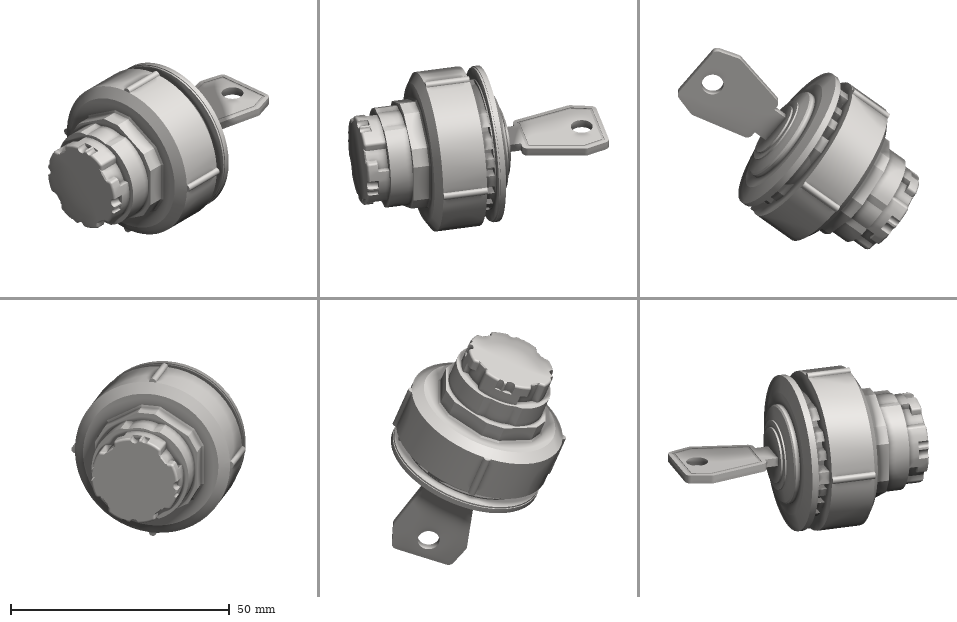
import cadquery as cq
import math


cap_front = 0
cap_undercut = 2.55
cap_back = 5.1
body_back = 10.3
nut_flare = 13.9
ring_front = 14.3
ring_bevel = 15.8
ring_back = 26.05
flange_front = 29.0
flange_step = 29.4
flange_rim = 30.6
knob_base = 31.5
knob_bevel = 32.45
knob_cone = 32.8
bezel_base = 33.6
bezel_face = 33.95
knob_face = 34.4
key_shoulder = 37.6
key_end = 57.55

cap_radius = 10.35
cap_floor_radius = 9.15
cap_floor_bevel = 0.3
cap_edge = 0.6
edge_margin = 0.05
pocket_wall_x = 4.95
pocket_wall_z = 6.2
pocket_corner = 0.7
undercut_wall_x = 3.05
scallop_radius = 1.1
scallop_angle = 0.7
dimple_radius = 0.8
dimple_angle = 13.6
dimple_centre_radius = 10.65

body_radius = 11.5
body_flat_z = 10.55
crown_half_width = 2.9
crown_height = 11.1

nut_width = 24.2
nut_corner_width = 25.55
nut_flare_growth = 0.49

ring_radius = 18.4
ring_face_radius = 16.05
rib_radius = 0.85
overall_width = 38.5
rib_reach = overall_width / 2

neck_radius = 15.1
neck_flat_z = 13.4
neck_core_radius = 12.65
neck_slots_per_quarter = 3
neck_slot_height = 2.1
neck_slot_pitch = 3.95
neck_first_slot_z = 2.55
neck_collar_radius = 15.15
neck_collar_length = 0.3
cone_radius_ring = 13.75
cone_radius_flange = 14.45
key_tab_reach = 16.7
key_tab_height = 2.95

flange_step_radius = 17.8
flange_radius = 18.0
flange_cone_radius = 14.15
knob_radius = 11.45
knob_cone_radius = 11.1
bezel_radius = 8.05
plug_radius = 6.45

key_centre_x = -0.5
key_thickness = 1.95
shank_left = -4.2
shank_right = 3.05
head_end_half_width = 7.2
head_wide_half_width = 9.0
head_wide_y = 51.75
head_shoulder_half_width = 5.7
head_corner = 1.45
panel_groove_margin = 1.0
panel_groove_width = 0.6
panel_groove_depth = 0.2
key_hole_diameter = 5.0
key_hole_y = 52.65


def section_plane(y):
    """Plane across the switch axis, with X to the right and Z up."""
    return cq.Workplane("XZ", origin=(0, y, 0))


def cylinder(radius, y_start, y_end):
    return section_plane(y_start).circle(radius).extrude(y_start - y_end)


def block(x_start, x_end, y_start, y_end, z_start, z_end):
    size = (x_end - x_start, y_end - y_start, z_end - z_start)
    return cq.Workplane().box(*size, centered=False).translate((x_start, y_start, z_start))


def turned(profile):
    """Solid of revolution about Y from (radius, y) points; the ends close on the axis."""
    points = [(0, profile[0][1])] + profile + [(0, profile[-1][1])]
    return cq.Workplane("XY").polyline(points).close().revolve(360, (0, 0), (0, 1))


def quarter_turns(solid):
    return [solid.rotate((0, 0, 0), (0, 1, 0), 90 * turn) for turn in range(4)]


def axis_distance(point):
    return math.hypot(point.x, point.z)


def make_cap():
    cap = cylinder(cap_radius, cap_front, cap_back)
    floor = cylinder(cap_floor_radius, cap_front, cap_back)
    outside = 2 * cap_radius

    pocket = block(-outside, -pocket_wall_x, cap_front, cap_back, pocket_wall_z, outside)
    for cutter in quarter_turns(pocket.cut(floor)):
        cap = cap.cut(cutter)

    mouth_edges = [
        edge
        for edge in cap.edges("|Y").vals()
        if axis_distance(edge.Center()) > cap_radius - edge_margin
    ]
    cap = cap.newObject(mouth_edges).fillet(pocket_corner)
    rim_edges = [
        edge
        for edge in cap.faces("<Y").edges().vals()
        if max(axis_distance(edge.startPoint()), axis_distance(edge.endPoint()))
        > cap_floor_radius + edge_margin
    ]
    cap = cap.newObject(rim_edges).fillet(cap_edge)

    bevel_end = cap_front + cap_floor_bevel
    bevel_cone = turned(
        [(cap_floor_radius - cap_floor_bevel, cap_front), (cap_floor_radius, bevel_end)]
    )
    bevel = block(-outside, -pocket_wall_x, cap_front, bevel_end, pocket_wall_z, outside)
    for cutter in quarter_turns(bevel.cut(bevel_cone)):
        cap = cap.cut(cutter)

    undercut = block(
        -pocket_wall_x, -undercut_wall_x, cap_undercut, cap_back, pocket_wall_z, outside
    )
    for cutter in quarter_turns(undercut.cut(floor)):
        cap = cap.cut(cutter)

    for angle, distance, radius in (
        (scallop_angle, cap_radius, scallop_radius),
        (dimple_angle, dimple_centre_radius, dimple_radius),
    ):
        groove = cylinder(radius, cap_front, cap_undercut).translate((0, 0, distance))
        for cutter in quarter_turns(groove.rotate((0, 0, 0), (0, 1, 0), angle)):
            cap = cap.cut(cutter)
    return cap


def make_body():
    """Round barrel with a flat and a crowned pad at the top and bottom."""
    flat_half_width = math.sqrt(body_radius**2 - body_flat_z**2)
    return (
        section_plane(cap_back)
        .moveTo(-flat_half_width, body_flat_z)
        .lineTo(-crown_half_width, body_flat_z)
        .threePointArc((0, crown_height), (crown_half_width, body_flat_z))
        .lineTo(flat_half_width, body_flat_z)
        .threePointArc((body_radius, 0), (flat_half_width, -body_flat_z))
        .lineTo(crown_half_width, -body_flat_z)
        .threePointArc((0, -crown_height), (-crown_half_width, -body_flat_z))
        .lineTo(-flat_half_width, -body_flat_z)
        .threePointArc((-body_radius, 0), (-flat_half_width, body_flat_z))
        .close()
        .extrude(cap_back - body_back)
    )


def nut_outline(growth):
    """Corners of a hexagon with flats facing X whose own corners are cut flat."""
    flat = nut_width / 2 + growth
    corner_flat = nut_corner_width / 2 + growth
    offset = (corner_flat - flat * math.cos(math.radians(30))) / math.sin(math.radians(30))
    points = []
    for side in range(6):
        angle = math.radians(60 * side)
        for shift in (-offset, offset):
            x = flat * math.cos(angle) - shift * math.sin(angle)
            z = flat * math.sin(angle) + shift * math.cos(angle)
            points.append((x, z))
    return points


def make_nut():
    straight = section_plane(body_back).polyline(nut_outline(0)).close()
    straight = straight.extrude(body_back - nut_flare)
    flare = (
        section_plane(nut_flare)
        .polyline(nut_outline(0))
        .close()
        .workplane(offset=nut_flare - ring_front)
        .polyline(nut_outline(nut_flare_growth))
        .close()
        .loft(ruled=True)
    )
    return straight.union(flare)


def make_ring():
    ring = turned(
        [(ring_face_radius, ring_front), (ring_radius, ring_bevel), (ring_radius, ring_back)]
    )
    rib = cylinder(rib_radius, ring_bevel, ring_back).translate((0, 0, rib_reach - rib_radius))
    for copy in quarter_turns(rib):
        ring = ring.union(copy)
    return ring


def make_neck():
    neck = cylinder(neck_radius, ring_back, flange_front)
    core = cylinder(neck_core_radius, ring_back, flange_front)
    reach = 2 * neck_radius
    flats = block(-reach, reach, ring_back, flange_front, -neck_flat_z, neck_flat_z)

    for step in range(neck_slots_per_quarter):
        for side in (-1, 1):
            middle = side * (neck_first_slot_z + step * neck_slot_pitch)
            bottom = middle - neck_slot_height / 2
            slot = block(-reach, reach, ring_back, flange_front, bottom, bottom + neck_slot_height)
            neck = neck.cut(slot.cut(core))
    neck = neck.intersect(flats)

    cone = turned([(cone_radius_ring, ring_back), (cone_radius_flange, flange_front)])
    collar = cylinder(neck_collar_radius, flange_front - neck_collar_length, flange_front)
    tab = block(
        -key_tab_reach, 0, ring_back, flange_front, -key_tab_height / 2, key_tab_height / 2
    )
    return neck.union(cone.cut(flats)).union(collar).union(tab)


def make_flange_and_knob():
    return turned(
        [
            (flange_step_radius, flange_front),
            (flange_step_radius, flange_step),
            (flange_radius, flange_step),
            (flange_radius, flange_rim),
            (flange_cone_radius, knob_base),
            (knob_radius, knob_base),
            (knob_radius, knob_bevel),
            (knob_cone_radius, knob_cone),
            (bezel_radius, bezel_base),
            (bezel_radius, bezel_face),
            (plug_radius, bezel_face),
            (plug_radius, knob_face),
        ]
    )


def key_head_outline(inset=0):
    points = [
        (-head_shoulder_half_width, key_shoulder),
        (head_shoulder_half_width, key_shoulder),
        (head_wide_half_width, head_wide_y),
        (head_end_half_width, key_end),
        (-head_end_half_width, key_end),
        (-head_wide_half_width, head_wide_y),
    ]
    outline = cq.Workplane("XY").polyline(points).close()
    return outline.offset2D(-inset) if inset else outline


def make_key():
    half = key_thickness / 2
    head = key_head_outline().extrude(half, both=True).edges("|Z").fillet(head_corner)

    inner_margin = panel_groove_margin + panel_groove_width
    groove = key_head_outline(panel_groove_margin).extrude(-panel_groove_depth)
    groove = groove.cut(key_head_outline(inner_margin).extrude(-panel_groove_depth))
    head = head.cut(groove.translate((0, 0, half)))

    hole = cq.Workplane("XY").circle(key_hole_diameter / 2).extrude(key_thickness)
    head = head.cut(hole.translate((0, key_hole_y, -half)))
    shank = block(shank_left, shank_right, knob_base, key_shoulder, -half, half)
    return head.translate((key_centre_x, 0, 0)).union(shank)


result = (
    make_cap()
    .union(make_body())
    .union(make_nut())
    .union(make_ring())
    .union(make_neck())
    .union(make_flange_and_knob())
    .union(make_key())
)